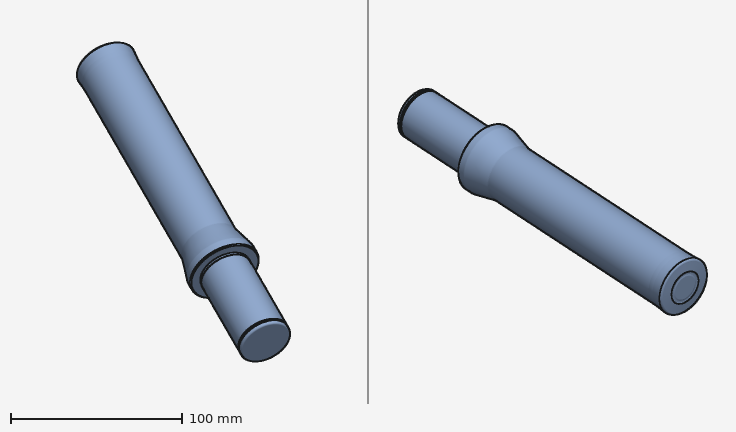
import cadquery as cq

total_length = 235.0
sleeve_length = 175.3
rim_start = 1.6
rim_taper_end = 8.2
rim_blend_end = 11.8
flare_start = 153.0
collar_start = 169.7
neck_end = 177.2
rod_groove_start = 231.2
rod_groove_width = 1.5

sleeve_diameter = 36.0
rim_diameter = 37.1
collar_diameter = 44.0
rod_diameter = 32.0
neck_diameter = 31.5
end_face_diameter = 33.4
face_groove_outer_diameter = 21.2
face_groove_inner_diameter = 15.5

dome_height = 0.5
rim_edge_radius = 1.9
face_groove_depth = 0.2
face_groove_wall_run = 1.0
rim_blend_step = 0.12
flare_blend_radius = 2.4
collar_edge_chamfer = 0.7
rod_edge_radius = 1.2

axis_start = -total_length / 2


def revolve_about_x(profile):
    """Turn a closed half profile (x, radius) about the X axis."""
    return profile.close().revolve(360, (0, 0, 0), (1, 0, 0)).translate((axis_start, 0, 0))


def make_sleeve():
    """Solid sleeve with a raised rim, a conical flare and a collar."""
    body = revolve_about_x(
        cq.Workplane("XY")
        .lineTo(0, face_groove_inner_diameter / 2)
        .lineTo(face_groove_depth, face_groove_inner_diameter / 2 + face_groove_wall_run)
        .lineTo(face_groove_depth, face_groove_outer_diameter / 2 - face_groove_wall_run)
        .lineTo(0, face_groove_outer_diameter / 2)
        .lineTo(dome_height, end_face_diameter / 2)
        .radiusArc((rim_start, rim_diameter / 2), rim_edge_radius)
        .lineTo(rim_taper_end, sleeve_diameter / 2 + rim_blend_step)
        .lineTo(rim_blend_end, sleeve_diameter / 2)
        .lineTo(flare_start, sleeve_diameter / 2)
        .lineTo(collar_start, collar_diameter / 2)
        .lineTo(sleeve_length, collar_diameter / 2)
        .lineTo(sleeve_length, 0)
    )

    def rings_at(x, diameter):
        """Select the circular edge of the given diameter at position x."""
        tolerance = 0.02
        reach = diameter / 2 + tolerance
        return cq.selectors.BoxSelector(
            (axis_start + x - tolerance, -reach, -reach),
            (axis_start + x + tolerance, reach, reach),
            boundingbox=True,
        )

    body = body.edges(rings_at(flare_start, sleeve_diameter)).fillet(flare_blend_radius)
    body = body.edges(rings_at(collar_start, collar_diameter)).fillet(flare_blend_radius)
    return body.faces(">X").edges().chamfer(collar_edge_chamfer)


def make_rod():
    """Rod butting against the collar, with a neck, a V groove and a rounded end."""
    rod = revolve_about_x(
        cq.Workplane("XY")
        .moveTo(sleeve_length, 0)
        .lineTo(sleeve_length, neck_diameter / 2)
        .lineTo(neck_end, neck_diameter / 2)
        .lineTo(neck_end, rod_diameter / 2)
        .lineTo(rod_groove_start, rod_diameter / 2)
        .lineTo(rod_groove_start + rod_groove_width / 2, neck_diameter / 2)
        .lineTo(rod_groove_start + rod_groove_width, rod_diameter / 2)
        .lineTo(total_length, rod_diameter / 2)
        .lineTo(total_length, 0)
    )
    return rod.faces(">X").edges().fillet(rod_edge_radius)


sleeve = make_sleeve()
rod = make_rod()

result = cq.Compound.makeCompound([sleeve.val(), rod.val()])